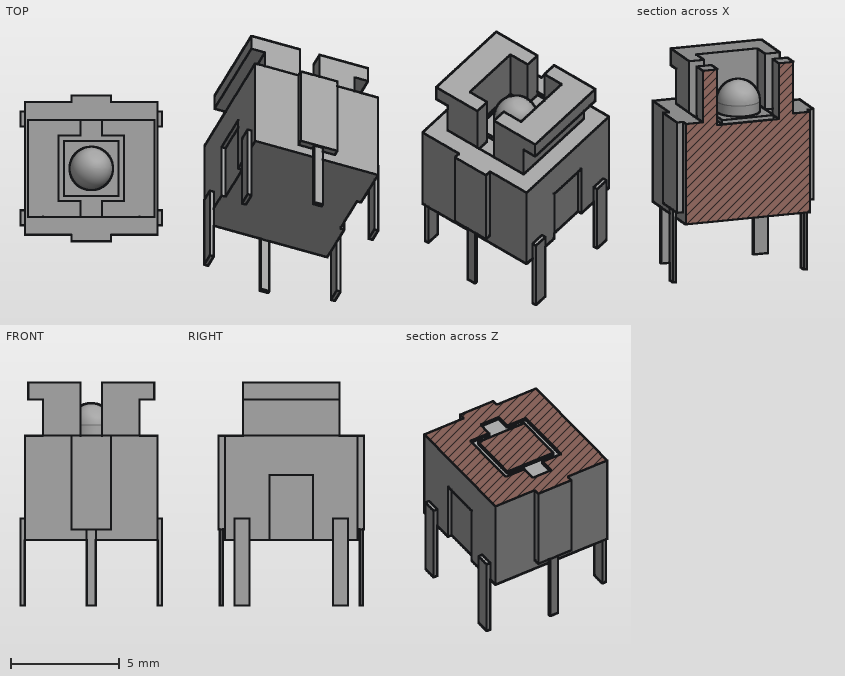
import cadquery as cq

body_size = 6.1
body_bottom = 3.0
body_top = 7.8

rib_width = 1.82
rib_depth = 0.3
rib_bottom = 3.5

recess_width = 2.0
recess_height = 3.0
recess_depth = 0.2

leg_thickness = 0.2
leg_width = 0.7
leg_top = 4.0
leg_offset = 2.265

pin_width = 0.43
pin_thickness = 0.15
pin_offset = 3.21

plunger_top = 10.25
stem_size = 4.45
flange_length = 5.8
flange_bottom = 9.45
plunger_opening = 3.0
plunger_slot_width = 0.97

floor_depth = 0.2
floor_level = body_top - floor_depth

pedestal_size = 2.52
lamp_diameter = 2.0
lamp_shoulder = 8.3


def block(size_x, size_y, bottom, top, x=0.0, y=0.0):
    """Upright box centred on (x, y) between two heights."""
    return cq.Workplane("XY").box(size_x, size_y, top - bottom).translate((x, y, (bottom + top) / 2))


def make_housing():
    housing = block(body_size, body_size, body_bottom, body_top)
    housing = housing.union(block(rib_width, body_size + 2 * rib_depth, rib_bottom, body_top))
    recess_top = body_bottom + recess_height
    for side in (-1, 1):
        recess_x = side * (body_size - recess_depth) / 2
        housing = housing.cut(block(recess_depth, recess_width, body_bottom, recess_top, x=recess_x))
    return housing


def make_plunger():
    plunger = block(stem_size, stem_size, body_top, plunger_top)
    return plunger.union(block(flange_length, stem_size, flange_bottom, plunger_top))


def cut_opening(part):
    part = part.cut(block(plunger_opening, plunger_opening, floor_level, plunger_top))
    return part.cut(block(plunger_slot_width, stem_size, floor_level, plunger_top))


def make_lamp():
    lamp_radius = lamp_diameter / 2
    pedestal = block(pedestal_size, pedestal_size, floor_level, body_top)
    post = cq.Workplane("XY").workplane(offset=body_top).circle(lamp_radius)
    post = post.extrude(lamp_shoulder - body_top)
    dome = cq.Workplane("XY").sphere(lamp_radius).translate((0, 0, lamp_shoulder))
    return pedestal.union(post).union(dome)


def add_terminals(part):
    leg_x = (body_size + leg_thickness) / 2
    for side in (-1, 1):
        for end in (-1, 1):
            leg = block(leg_thickness, leg_width, 0, leg_top, x=side * leg_x, y=end * leg_offset)
            part = part.union(leg)
        part = part.union(block(pin_width, pin_thickness, 0, rib_bottom, y=side * pin_offset))
    return part


switch = cut_opening(make_housing().union(make_plunger()))
result = add_terminals(switch.union(make_lamp()))